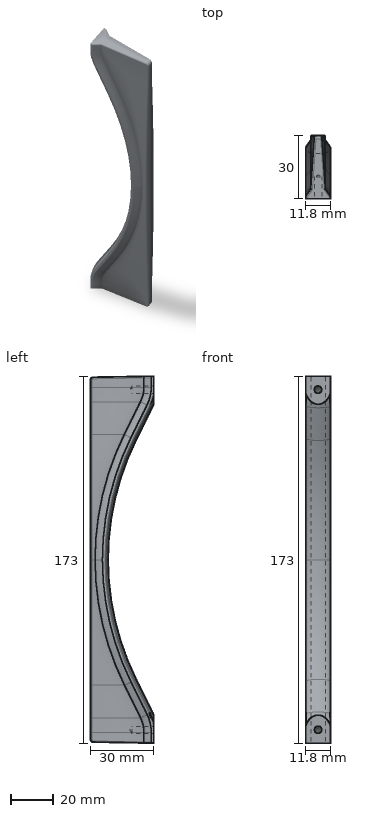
import cadquery as cq
import math

length = 173.0
depth = 30.0
width = 11.8
half_length = length / 2
half_width = width / 2

root_depth_middle = 2.2
root_depth_end = 25.3
bow_radius = 133.2
slope_angle = math.radians(26.3)
shoulder_start_z = 81.3

root_half_width = 3.5
flare_depth = 3.5
side_edge_depth = 4.8
crown_depth = 6.2
crown_edge_fillet = 0.5

web_draft = math.radians(4.0)

end_face_lean = 0.5
back_corner_radius = 1.5
edge_fillet = 0.7
hole_diameter = 3.5
hole_depth = 10.4
hole_tip_depth = 1.0
hole_from_end = 6.4

bow_end_depth = root_depth_middle + bow_radius * (1 - math.cos(slope_angle))
bow_end_z = bow_radius * math.sin(slope_angle)
corner_z = bow_end_z + (root_depth_end - bow_end_depth) / math.tan(slope_angle)
shoulder_radius = (shoulder_start_z - corner_z) / math.tan(slope_angle / 2)


def bow_point(angle):
    """Point (y, z) on the bow arc, turned by an angle from the middle of the handle."""
    y = -root_depth_middle - bow_radius * (1 - math.cos(angle))
    return (y, bow_radius * math.sin(angle))


def shoulder_point(angle):
    """Point (y, z) on the shoulder arc, turned by an angle from the straight end."""
    y = -root_depth_end + shoulder_radius * (1 - math.cos(angle))
    return (y, shoulder_start_z - shoulder_radius * math.sin(angle))


def root_curve():
    """Upper half of the root curve in the YZ plane, from the middle to the end."""
    return (
        cq.Workplane("YZ")
        .moveTo(*bow_point(0))
        .threePointArc(bow_point(slope_angle / 2), bow_point(slope_angle))
        .lineTo(*shoulder_point(slope_angle))
        .threePointArc(shoulder_point(slope_angle / 2), shoulder_point(0))
        .lineTo(-root_depth_end, half_length)
    )


def rail_section():
    """Rail section at the middle: flared flanks, short sides and a crowned front with rounded edges."""
    outline = (
        cq.Workplane("XY", origin=(0, -root_depth_middle, 0))
        .moveTo(-root_half_width, 0)
        .lineTo(-half_width, -flare_depth)
        .lineTo(-half_width, -side_edge_depth)
        .threePointArc((0, -crown_depth), (half_width, -side_edge_depth))
        .lineTo(half_width, -flare_depth)
        .lineTo(root_half_width, 0)
        .close()
    )
    crown_ends = outline.vertices("<Y").vals()
    return outline.val().fillet2D(crown_edge_fillet, crown_ends)


def make_rail():
    """Upper half of the rail, swept along the root curve and cut flat at the end pad."""
    rail = cq.Workplane(obj=rail_section()).toPending().sweep(root_curve())
    envelope = cq.Workplane("XZ").rect(width, length).extrude(depth)
    return rail.intersect(envelope)


def draft_cutter(side):
    """Space beside the web: the area behind the root curve, sheared inward toward the back."""
    area = root_curve().lineTo(root_depth_end, half_length).lineTo(root_depth_end, 0).close()
    outline = area.val().translate(cq.Vector(side * root_half_width, 0, 0))
    inward = root_depth_end * math.tan(web_draft)
    shear = cq.Vector(-side * inward, root_depth_end, 0)
    return cq.Workplane(obj=cq.Solid.extrudeLinear(outline, [], shear))


def make_web():
    """Upper half of the web between the root curve and the back, thinner toward the back."""
    area = root_curve().lineTo(0, half_length).lineTo(0, 0).close()
    web = area.extrude(root_half_width, both=True)
    for side in (-1, 1):
        web = web.cut(draft_cutter(side))
    return web


def end_trim():
    """Outline that leans the end face inward toward the back and rounds its back corner."""
    return (
        cq.Workplane("YZ")
        .polyline([(-depth, 0), (0, 0), (0, half_length - end_face_lean), (-depth, half_length)])
        .close()
        .extrude(half_width, both=True)
        .edges("|X and >Y")
        .edges(">Z")
        .fillet(back_corner_radius)
    )


def round_web_edges(body):
    """Round the back edges of the web and the side edges of the end face, up to the tips of the flare."""
    end_band_z = half_length - end_face_lean - back_corner_radius
    edges = body.faces(">Y").edges("not |X").vals()
    for edge in body.edges("not |X").vals():
        middle = edge.positionAt(0.5)
        if middle.z > end_band_z and abs(middle.x) < half_width - edge_fillet:
            edges.append(edge)
    return body.newObject(edges).fillet(edge_fillet)


def mounting_hole():
    """Blind hole with a conical drill tip, entering the end pad."""
    radius = hole_diameter / 2
    return (
        cq.Workplane("XY", origin=(0, -depth, half_length - hole_from_end))
        .polyline([(0, 0), (radius, 0), (radius, hole_depth), (0, hole_depth + hole_tip_depth)])
        .close()
        .revolve(360, (0, 0), (0, 1))
    )


trimmed_half = make_rail().union(make_web()).intersect(end_trim())
upper_half = round_web_edges(trimmed_half).cut(mounting_hole())
result = upper_half.union(upper_half.mirror("XY"))